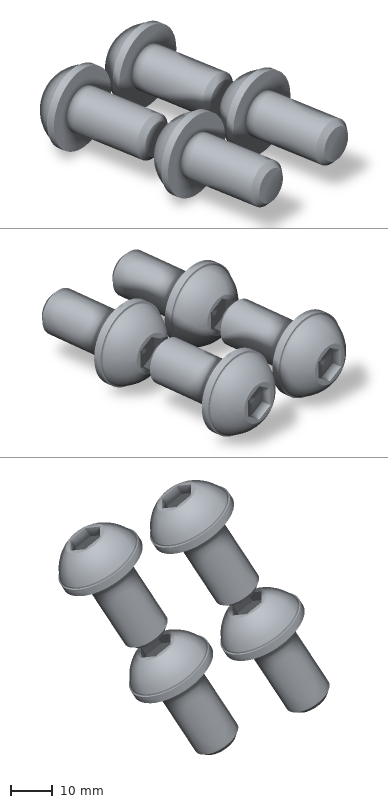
import cadquery as cq
import math

total_length = 66.6
screw_length = 31.6
column_pitch = total_length - screw_length
row_pitch = 25.05

head_height = 6.6
head_diameter = 21.0
head_flat_diameter = 10.65
head_rim_width = 0.4

socket_across_flats = 8.0
socket_depth = 2.65
drill_diameter = 2.2
drill_point_angle = 118.0

shank_diameter = 12.0
shank_chamfer = 1.45

washer_diameter = 22.0
washer_thickness = 2.05


def head_dome_middle():
    """Point (x, radius) half way along the dome arc, whose centre is on the screw axis."""
    flat_radius = head_flat_diameter / 2
    rim_radius = head_diameter / 2
    dome_height = head_height - head_rim_width
    centre_x = (dome_height**2 + rim_radius**2 - flat_radius**2) / (2 * dome_height)
    dome_radius = math.hypot(centre_x, flat_radius)
    flat_end_angle = math.atan2(flat_radius, centre_x)
    rim_end_angle = math.atan2(rim_radius, centre_x - dome_height)
    middle_angle = (flat_end_angle + rim_end_angle) / 2
    return (
        centre_x - dome_radius * math.cos(middle_angle),
        dome_radius * math.sin(middle_angle),
    )


def revolve_about_x(profile):
    """Turn a closed profile in the XY plane around the X axis."""
    return profile.revolve(360, (0, 0, 0), (1, 0, 0))


def make_screw_blank():
    """Domed head and chamfered shank, without the socket."""
    shank_radius = shank_diameter / 2
    profile = (
        cq.Workplane("XY")
        .lineTo(0, head_flat_diameter / 2)
        .threePointArc(head_dome_middle(), (head_height - head_rim_width, head_diameter / 2))
        .lineTo(head_height, head_diameter / 2)
        .lineTo(head_height, shank_radius)
        .lineTo(screw_length - shank_chamfer, shank_radius)
        .lineTo(screw_length, shank_radius - shank_chamfer)
        .lineTo(screw_length, 0)
        .close()
    )
    return revolve_about_x(profile)


def make_socket():
    """Hexagonal socket with two corners pointing up and down."""
    across_corners = socket_across_flats / math.cos(math.radians(30))
    return (
        cq.Workplane("YZ")
        .transformed(rotate=(0, 0, 90))
        .polygon(6, across_corners)
        .extrude(socket_depth)
    )


def make_drill_point():
    """Conical drill mark in the socket floor."""
    drill_radius = drill_diameter / 2
    cone_depth = drill_radius / math.tan(math.radians(drill_point_angle / 2))
    profile = (
        cq.Workplane("XY")
        .moveTo(socket_depth, 0)
        .lineTo(socket_depth, drill_radius)
        .lineTo(socket_depth + cone_depth, 0)
        .close()
    )
    return revolve_about_x(profile)


def make_screw():
    return make_screw_blank().cut(make_socket()).cut(make_drill_point())


def make_washer():
    """Flat washer that fits the shank and bears on the underside of the head."""
    return (
        cq.Workplane("YZ", origin=(head_height, 0, 0))
        .circle(washer_diameter / 2)
        .circle(shank_diameter / 2)
        .extrude(washer_thickness)
    )


screw = make_screw()
washer = make_washer()
screws = []
washers = []
for x in (0, column_pitch):
    for y in (-row_pitch / 2, row_pitch / 2):
        screws.append(screw.translate((x, y, 0)).val())
        washers.append(washer.translate((x, y, 0)).val())

result = cq.Compound.makeCompound([*screws, *washers])